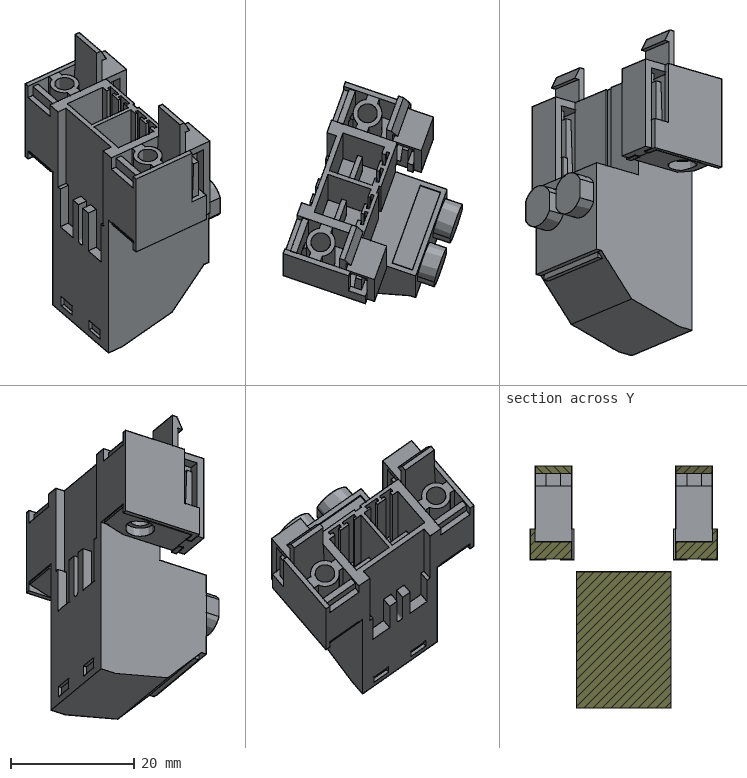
import cadquery as cq


mating_z = 41.45
core_half = 7.7
shroud_depth = 11.3
back_depth = 20.2
shoulder_z = 24.25
slope_top_y, slope_top_z = 19.25, 9.25
slope_low_y, slope_low_z = 12.8, 2.4
base_depth = 2.75
way_x = 3.85

cavity_floor_z = 23.88
cavity_outer_x, cavity_inner_x = 7.0, 0.35
cavity_front_y = 2.5
outer_edge_y, middle_edge_y, inner_edge_y = 9.6, 9.75, 9.9
keyway_neck_y, keyway_head_y = 10.2, 10.7
outer_neck, outer_head = (-5.85, -4.7), (-6.4, -4.15)
inner_neck, inner_head = (-2.9, -1.65), (-3.55, -1.15)
contact_width, contact_thickness = 4.5, 0.85
contact_y = 5.75
contact_bottom_z, contact_top_z = 21.5, 33.42

recess_depth = 1.6
recess_half = 6.2
recess_z = 25.7
slot_bottom_z = 17.75
slot_inner_x, slot_outer_x = 2.1, 5.6
groove_radius = 0.55
window_x, window_width = 3.8, 3.0
window_z, window_height = 2.35, 1.9
window_depth = 0.55

marker_half = 6.88
marker_y0, marker_y1 = 15.85, 19.35
marker_depth = 0.4
lip_height = 0.95
rear_notch_width, rear_notch_depth = 1.2, 0.35

flange_outer_x = -15.25
bay_outer_x, bay_inner_x = -14.4, -8.45
bay_width = bay_inner_x - bay_outer_x
bay_x = (bay_outer_x + bay_inner_x) / 2
flange_bottom_z = 27.85
floor_z = 29.15
skirt_z = 26.15
side_wall_step_z = 31.25
rear_y = 14.2
bay_front_y = 2.0
notch_ledge_y, notch_ledge_z, notch_wall_z = 0.95, 39.05, 40.9
keel_y, keel_z = 0.15, 27.4
keel_slope_end_y = 3.72
rear_wall_y = 13.25
fin_top_z = 38.2
fin_top_y, fin_foot_y = 12.22, 11.9
nub_x = -8.05
rib_width = 2.4

lever_back_y = 15.45
bridge_z = 40.2
hook_top_z, barb_z = 47.75, 45.65
stem_front_y, stem_back_y = 9.45, 10.55
hook_top_y = 10.3
barb_y = 11.4
stem_foot_y = 8.9
plate_bottom_z = 26.3

bushing_x, bushing_y = bay_x, 5.15
bushing_radius, bore_radius = 2.35, 1.58
web_width = 2.0
key_width = 0.95
key_front_y = 2.4
key_top_z = 35.8
key_taper_height = 3.35

button_radius, button_width = 3.45, 6.05
button_z = 19.35
button_end_y = 23.1


def block(x0, x1, y0, y1, z0, z1):
    """Box given by its limits along X, Y and Z."""
    return cq.Workplane("XY").box(x1 - x0, y1 - y0, z1 - z0, centered=False).translate((x0, y0, z0))


def side_profile(points, x0, x1):
    """Closed (Y, Z) outline extruded from x0 to x1."""
    return cq.Workplane("YZ").workplane(offset=x0).polyline(points).close().extrude(x1 - x0)


def on_both_sides(left):
    """The -X item and its mirror image on the +X side."""
    return [left, left.mirror("YZ")]


def make_core():
    """Side outline of the central housing, with the small lip on the rear slope."""
    outline = [
        (0, 0),
        (base_depth, 0),
        (slope_low_y, slope_low_z),
        (slope_top_y, slope_top_z),
        (back_depth, slope_top_z),
        (back_depth, shoulder_z),
        (shroud_depth, shoulder_z),
        (shroud_depth, mating_z),
        (0, mating_z),
    ]
    core = side_profile(outline, -core_half, core_half)
    lip = block(-marker_half, marker_half, slope_low_y, slope_top_y, slope_top_z - lip_height, slope_top_z)
    return core.union(lip)


def make_cavity():
    """Mating cavity of the -X way: a room with a stepped rear wall and two T-shaped keyways."""
    room_outline = [
        (-cavity_outer_x, cavity_front_y),
        (-cavity_outer_x, outer_edge_y),
        (outer_neck[0], outer_edge_y),
        (outer_neck[0], middle_edge_y),
        (inner_neck[1], middle_edge_y),
        (inner_neck[1], inner_edge_y),
        (-cavity_inner_x, inner_edge_y),
        (-cavity_inner_x, cavity_front_y),
    ]
    room = cq.Workplane("XY").workplane(offset=cavity_floor_z).polyline(room_outline).close()
    cavity = room.extrude(mating_z - cavity_floor_z)
    for neck, head in ((outer_neck, outer_head), (inner_neck, inner_head)):
        cavity = cavity.union(block(*neck, cavity_front_y, keyway_neck_y, cavity_floor_z, mating_z))
        cavity = cavity.union(block(*head, keyway_neck_y, keyway_head_y, cavity_floor_z, mating_z))
    return cavity


def make_contact():
    """Flat blade of the -X way, standing in a slot in the cavity floor."""
    blade = cq.Workplane("XY").box(
        contact_width, contact_thickness, contact_top_z - contact_bottom_z, centered=(True, True, False)
    )
    return blade.translate((-way_x, contact_y, contact_bottom_z))


def make_front_recess():
    """Wide recess below the rim, two straight slots and a round-ended groove under it."""
    recess = block(-recess_half, recess_half, 0, recess_depth, recess_z, mating_z)
    slot = block(-slot_outer_x, -slot_inner_x, 0, recess_depth, slot_bottom_z, recess_z)
    for side in on_both_sides(slot):
        recess = recess.union(side)
    groove_z = slot_bottom_z + groove_radius
    groove = block(-groove_radius, groove_radius, 0, recess_depth, groove_z, recess_z)
    groove_end = cq.Workplane("XZ").center(0, groove_z).circle(groove_radius).extrude(-recess_depth)
    return recess.union(groove).union(groove_end)


def make_window():
    """Shallow window low on the front of the -X way."""
    window = cq.Workplane("XY").box(window_width, window_depth, window_height, centered=(True, False, True))
    return window.translate((-window_x, 0, window_z))


def make_flange():
    """Screw flange on the -X side: an open bay between two side walls, with a rear wall and fin."""
    outer_wall_outline = [
        (0, skirt_z),
        (rear_y, skirt_z),
        (rear_y, side_wall_step_z),
        (shroud_depth, side_wall_step_z),
        (shroud_depth, mating_z),
        (0, mating_z),
    ]
    outer_wall = side_profile(outer_wall_outline, flange_outer_x, bay_outer_x)
    inner_wall = block(bay_inner_x, -core_half, 0, shroud_depth, flange_bottom_z, mating_z)
    bay_outline = [
        (0, flange_bottom_z),
        (keel_y, flange_bottom_z),
        (keel_y, keel_z),
        (keel_slope_end_y, plate_bottom_z),
        (rear_wall_y, plate_bottom_z),
        (rear_wall_y, skirt_z),
        (rear_y, skirt_z),
        (rear_y, side_wall_step_z),
        (rear_wall_y, side_wall_step_z),
        (rear_wall_y, fin_top_z),
        (fin_top_y, fin_top_z),
        (fin_foot_y, floor_z),
        (bay_front_y, floor_z),
        (bay_front_y, notch_wall_z),
        (notch_ledge_y, notch_wall_z),
        (notch_ledge_y, notch_ledge_z),
        (0, notch_ledge_z),
    ]
    bay = side_profile(bay_outline, bay_outer_x, bay_inner_x)
    nub = block(bay_inner_x, nub_x, rear_wall_y, rear_y, skirt_z, side_wall_step_z)
    rib_groove = block(
        bay_x - rib_width / 2, bay_x + rib_width / 2, rear_wall_y, rear_y, skirt_z, side_wall_step_z
    )
    bushing_hole = (
        cq.Workplane("XY").workplane(offset=skirt_z).center(bushing_x, bushing_y)
        .circle(bushing_radius).extrude(floor_z - skirt_z)
    )
    flange = outer_wall.union(inner_wall).union(bay).union(nub)
    return flange.cut(rib_groove).cut(bushing_hole)


def make_housing():
    """Central housing and both flanges as one moulding."""
    housing = make_core()
    for flange in on_both_sides(make_flange()):
        housing = housing.union(flange)
    for removed in (make_cavity(), make_contact(), make_window()):
        for side in on_both_sides(removed):
            housing = housing.cut(side)
    marker = block(-marker_half, marker_half, marker_y0, marker_y1, shoulder_z - marker_depth, shoulder_z)
    rear_notch = block(
        -rear_notch_width / 2, rear_notch_width / 2, shroud_depth - rear_notch_depth, shroud_depth,
        shoulder_z, mating_z,
    )
    return housing.cut(make_front_recess()).cut(marker).cut(rear_notch)


def make_lever():
    """Locking lever of the -X flange: hooked stem, bridge and rear plate with a central rib."""
    outline = [
        (stem_front_y, hook_top_z),
        (hook_top_y, hook_top_z),
        (barb_y, barb_z),
        (stem_back_y, barb_z),
        (stem_back_y, mating_z),
        (lever_back_y, mating_z),
        (lever_back_y, plate_bottom_z),
        (rear_y, plate_bottom_z),
        (rear_y, bridge_z),
        (stem_back_y, bridge_z),
        (stem_back_y, floor_z),
        (stem_foot_y, floor_z),
        (stem_front_y, mating_z),
    ]
    rib_outline = [
        (rear_y, plate_bottom_z),
        (rear_y, bridge_z),
        (fin_top_y, bridge_z),
        (fin_top_y, fin_top_z),
        (rear_wall_y, fin_top_z),
        (rear_wall_y, plate_bottom_z),
    ]
    lever = side_profile(outline, bay_outer_x, bay_inner_x)
    rib = side_profile(rib_outline, bay_x - rib_width / 2, bay_x + rib_width / 2)
    return lever.union(rib)


def make_bushing():
    """Screw bushing of the -X flange: tube with a web to each side wall and a tapered front key."""
    height = mating_z - floor_z
    at_floor = cq.Workplane("XY").workplane(offset=floor_z).center(bushing_x, bushing_y)
    webs = at_floor.rect(bay_width, web_width).extrude(height)
    key_outline = [
        (bushing_y, floor_z),
        (bushing_y, key_top_z),
        (key_front_y, key_top_z),
        (bay_front_y, key_top_z - key_taper_height),
        (bay_front_y, floor_z),
    ]
    key = side_profile(key_outline, bushing_x - key_width / 2, bushing_x + key_width / 2)
    at_bottom = cq.Workplane("XY").workplane(offset=flange_bottom_z).center(bushing_x, bushing_y)
    tube = at_bottom.circle(bushing_radius).extrude(mating_z - flange_bottom_z)
    bore = at_bottom.circle(bore_radius).extrude(mating_z - flange_bottom_z)
    return tube.union(webs).union(key).cut(bore)


def make_button():
    """Round button of the -X way with its two sides cut flat."""
    length = button_end_y - back_depth
    disc = cq.Workplane("XZ", origin=(-way_x, back_depth, button_z)).circle(button_radius).extrude(-length)
    flats = block(
        -way_x - button_width / 2, -way_x + button_width / 2, back_depth, button_end_y,
        button_z - button_radius, button_z + button_radius,
    )
    return disc.intersect(flats)


housing = make_housing()
contacts = on_both_sides(make_contact())
levers = on_both_sides(make_lever())
bushings = on_both_sides(make_bushing())
buttons = on_both_sides(make_button())

repeated = contacts + levers + bushings + buttons
result = cq.Compound.makeCompound([housing.val()] + [body.val() for body in repeated])